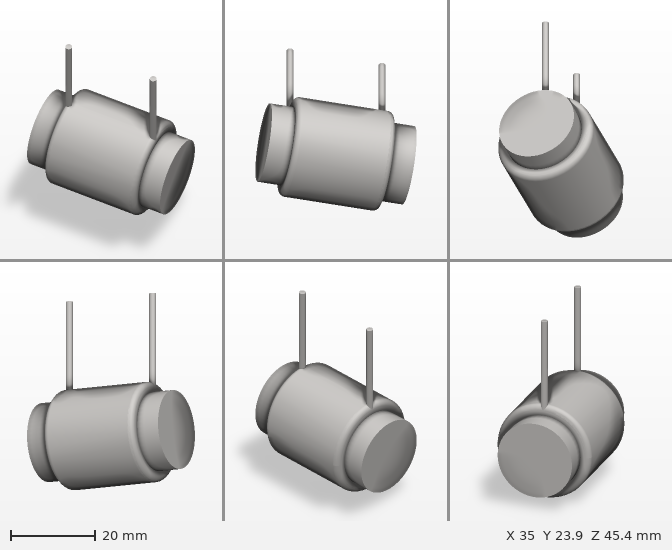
import cadquery as cq

total_height = 45.35
core_length = 35.05
core_diameter = 18.8
winding_length = 23.9
winding_diameter = 23.9
winding_edge_radius = 1.3
lead_diameter = 1.65

lead_top = total_height - winding_diameter / 2
lead_offset = (winding_length - lead_diameter) / 2
lead_start = core_diameter / 4


def cylinder_along_x(diameter, length):
    """Cylinder on the X axis, centred on the origin."""
    return cq.Workplane("YZ", origin=(-length / 2, 0, 0)).circle(diameter / 2).extrude(length)


def lead(x):
    """Straight round wire rising from the core at position x."""
    return (
        cq.Workplane("XY", origin=(x, 0, lead_start))
        .circle(lead_diameter / 2)
        .extrude(lead_top - lead_start)
    )


core = cylinder_along_x(core_diameter, core_length)
winding = (
    cylinder_along_x(winding_diameter, winding_length)
    .faces("<X or >X")
    .edges()
    .fillet(winding_edge_radius)
)

result = core.union(winding)
for x in (-lead_offset, lead_offset):
    result = result.union(lead(x))